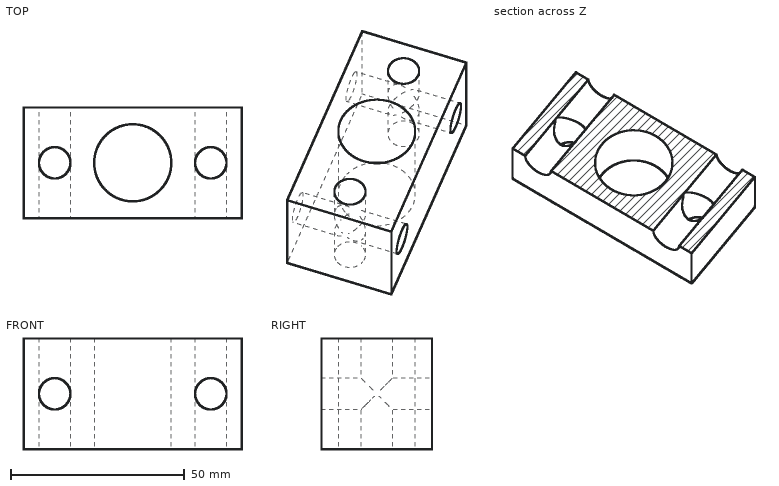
import cadquery as cq

length = 63.0
depth = 32.0
height = 32.0

bore_diameter = 22.2
bolt_hole_diameter = 9.0
bolt_spacing = 45.0


def make_block():
    """Rectangular block centred on the origin."""
    return cq.Workplane("XY").box(length, depth, height)


def drill_central_bore(body):
    """Large vertical bore through the middle of the block."""
    return body.faces(">Z").workplane(origin=(0, 0, 0)).hole(bore_diameter)


def drill_bolt_pair(body, face):
    """Two through holes, spaced along X, drilled square to the chosen face."""
    return (
        body.faces(face)
        .workplane(origin=(0, 0, 0))
        .pushPoints([(-bolt_spacing / 2, 0), (bolt_spacing / 2, 0)])
        .hole(bolt_hole_diameter)
    )


block = drill_central_bore(make_block())
for drilled_face in (">Z", "<Y"):
    block = drill_bolt_pair(block, drilled_face)

result = block